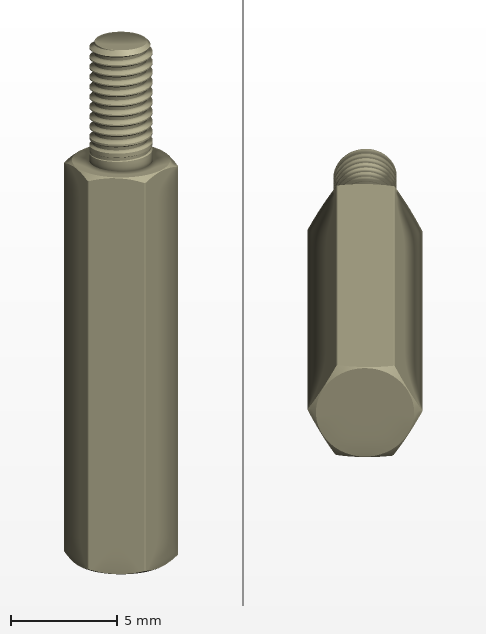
import cadquery as cq
import math

TOTAL_HEIGHT = 26.0
STUD_LENGTH = 6.0
BODY_HEIGHT = TOTAL_HEIGHT - STUD_LENGTH

ACROSS_FLATS = 4.7
CORNER_RADIUS = 0.1
END_FACE_DIAMETER = 4.63
END_CHAMFER_ANGLE = 30.0

MAJOR_DIAMETER = 3.0
MINOR_DIAMETER = 2.5
TIP_DIAMETER = 2.47
TURNS_PER_STUD = 12
PITCH = STUD_LENGTH / TURNS_PER_STUD
THREAD_DEPTH = (MAJOR_DIAMETER - MINOR_DIAMETER) / 2
FLANK_ANGLE = 30.0
CREST_WIDTH = PITCH / 8
RUNOUT_TURNS = 2.0
RUNOUT_START_HEIGHT = 1.35
ROD_ALLOWANCE = 3 * PITCH
CUT_CLEARANCE = 0.03


def make_hex_body():
    """Hexagonal bar with corners on +X and -X and both ends chamfered all round."""
    across_corners = ACROSS_FLATS / math.cos(math.radians(30))
    bar = (
        cq.Workplane("XY")
        .polygon(6, across_corners)
        .extrude(BODY_HEIGHT)
        .edges("|Z")
        .fillet(CORNER_RADIUS)
    )
    end_radius = END_FACE_DIAMETER / 2
    outer_radius = across_corners / 2
    chamfer_height = (outer_radius - end_radius) * math.tan(math.radians(END_CHAMFER_ANGLE))
    chamfered_envelope = (
        cq.Workplane("XZ")
        .moveTo(0, 0)
        .lineTo(end_radius, 0)
        .lineTo(outer_radius, chamfer_height)
        .lineTo(outer_radius, BODY_HEIGHT - chamfer_height)
        .lineTo(end_radius, BODY_HEIGHT)
        .lineTo(0, BODY_HEIGHT)
        .close()
        .revolve(360, (0, 0, 0), (0, 1, 0))
    )
    return bar.intersect(chamfered_envelope)


def sweep_groove(path):
    """Sweep the V-shaped groove section, flat at its root, along a helix starting on the +X side."""
    flank_slope = math.tan(math.radians(FLANK_ANGLE))
    root_radius = MINOR_DIAMETER / 2
    rim_radius = MAJOR_DIAMETER / 2 + CUT_CLEARANCE
    rim_half = (PITCH - CREST_WIDTH) / 2 + CUT_CLEARANCE * flank_slope
    root_half = rim_half - (rim_radius - root_radius) * flank_slope
    section = cq.Workplane("XZ").polyline([
        (root_radius, -root_half),
        (rim_radius, -rim_half),
        (rim_radius, rim_half),
        (root_radius, root_half),
    ]).close()
    return section.sweep(cq.Workplane(path), isFrenet=True)


def cut_thread(rod):
    """Cut a right-handed groove from above the tip down to where it fades out."""
    root_radius = MINOR_DIAMETER / 2
    groove_height = STUD_LENGTH + PITCH - RUNOUT_START_HEIGHT
    groove = sweep_groove(cq.Wire.makeHelix(PITCH, groove_height, root_radius))

    runout_height = RUNOUT_TURNS * PITCH
    cone_angle = math.degrees(math.atan(THREAD_DEPTH / runout_height))
    runout_path = cq.Wire.makeHelix(PITCH, runout_height, root_radius, angle=cone_angle)
    runout = sweep_groove(runout_path).rotate((0, 0, 0), (1, 0, 0), 180)

    for cutter in (groove, runout):
        placed = cutter.rotate((0, 0, 0), (0, 0, 1), 180)
        rod = rod.cut(placed.translate((0, 0, RUNOUT_START_HEIGHT)))
    return rod


def make_stud():
    """Threaded stud standing on the body, cut from an overlong rod and trimmed at its tip."""
    rod = cq.Workplane("XY").circle(MAJOR_DIAMETER / 2).extrude(STUD_LENGTH + ROD_ALLOWANCE)
    trim_diameter = MAJOR_DIAMETER + 2 * CUT_CLEARANCE
    trimmed_envelope = (
        cq.Workplane("XY")
        .circle(trim_diameter / 2)
        .extrude(STUD_LENGTH)
        .faces(">Z")
        .chamfer((trim_diameter - TIP_DIAMETER) / 2)
    )
    stud = cut_thread(rod).intersect(trimmed_envelope)
    return stud.translate((0, 0, BODY_HEIGHT))


hex_body = make_hex_body()
stud = make_stud()

result = cq.Compound.makeCompound([*hex_body.vals(), *stud.vals()])